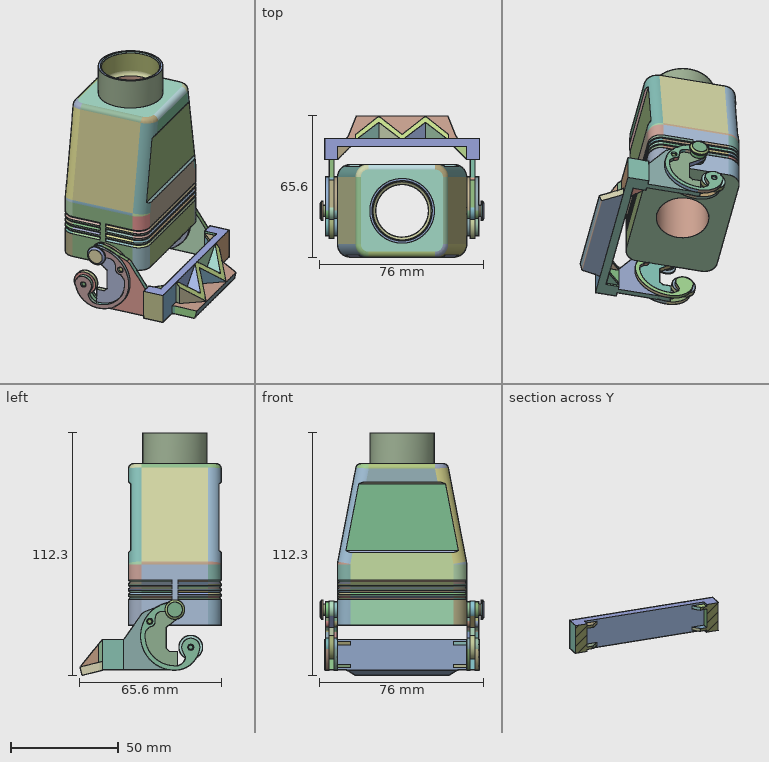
import cadquery as cq
import math

HOOD_LENGTH = 60.0
HOOD_WIDTH = 43.1
HOOD_HEIGHT = 75.0
SHOULDER_Z = 28.8
TOP_LENGTH = 42.2
SHOULDER_BLEND = 7.0
CORNER_RADIUS = 6.1
TOP_FILLET = 2.5

COLLAR_DIAMETER = 30.0
COLLAR_TOP_Z = 89.2
COLLAR_BORE = 27.0
COLLAR_BORE_DEPTH = 9.9
MOUTH_CHAMFER = 0.5
SEAT_FILLET = 1.95
CABLE_BORE = 24.3

PANEL_DEPTH = 1.0
PANEL_BOTTOM_Z = 33.7
PANEL_TOP_Z = 66.5

GROOVE_COUNT = 4
GROOVE_PITCH = 2.45
GROOVE_WIDTH = 1.7
GROOVE_DEPTH = 0.8
LOWEST_GROOVE_Z = 12.75
GROOVE_BAR_WIDTH = 2.9

HOOK_INNER_X = HOOD_LENGTH / 2
ARM_INNER_X = 31.55
ARM_OUTER_X = 33.85
HOOK_OUTER_X = 35.6
PIN_HEAD_X = 36.65
PIN_RIM_X = 37.25
PIN_END_X = 38.0

PIN_Z = 7.3
PIN_ROOT_X = HOOK_INNER_X - 1.0
PIN_RADIUS = 2.65
PIN_HEAD_RADIUS = 4.55
PIN_FACE_RADIUS = 3.5

HOOK_Z = -4.95
HOOK_RADIUS = 15.9
HOOK_INNER_RADIUS = 13.8
HOOK_END_RADIUS = HOOK_Z + HOOK_RADIUS - PIN_Z
HOOK_BOTTOM_Z = HOOK_Z - HOOK_RADIUS
HOOK_INNER_BOTTOM_Z = HOOK_Z - HOOK_INNER_RADIUS
ROLLER_CENTRE = (-7.35, -10.15)
ROLLER_RADIUS = 5.55
ROLLER_BOSS_RADIUS = 4.2
HOOK_CUSP = (-4.9, -14.7)
HOOK_THROAT = (-3.2, -17.75)
LUG_CENTRE = (11.65, 1.85)
LUG_RADIUS = 2.55
LUG_BLEND = 1.5
LUG_START_ANGLE = 9.0
NECK_FILLET = 3.2
NECK_Z = 6.5
DIMPLE_RADIUS = 1.4
DIMPLE_FLOOR_RADIUS = 1.0
DIMPLE_DEPTH = 0.5

BAR_LENGTH = 71.75
BAR_FRONT_Y = 23.7
BAR_BACK_Y = 33.6
BAR_WEB = 3.8
BAR_LEG = 5.95
BAR_TOP_Z = -6.5
BAR_BOTTOM_Z = -20.65
ARM_END_RADIUS = 4.05
ARM_SHOULDER_LOW = (15.4, 5.3)
ARM_SHOULDER_HIGH = (14.3, 6.2)
ARM_NOTCH_Y = 3.95
ARM_NOTCH_TOP_Z = -0.9
ARM_NOTCH_BOTTOM_Z = -12.05
ARM_NOTCH_CHAMFER = 1.4
ARM_TOE_Y = -1.3
GUSSET_THICKNESS = 1.5
GUSSET_INSET = 1.0

GRIP_TIP = (44.04, -19.32)
GRIP_SLOPE = 14.0
GRIP_THICKNESS = 4.05
GRIP_TIP_FILLET = 0.5
GRIP_TIP_HALF = 21.2
GRIP_ROOT_HALF = 24.9
GRIP_FLARE_HALF = 25.8
GRIP_FLARE = 1.2
RIB_PEAK_X = 10.8
RIB_PEAK_HALF_FLAT = 0.45
RIB_PEAK_Y = 43.5
RIB_ROOT_Y = 35.4
RIB_HALF_LENGTH = 21.5
RIB_POCKET_HALF = 9.7
RIB_POCKET_Z = -15.6


def box(x_range, y_range, z_range):
    """Axis-aligned block between pairs of limits."""
    size = [high - low for low, high in (x_range, y_range, z_range)]
    corner = cq.Vector(x_range[0], y_range[0], z_range[0])
    return cq.Workplane(obj=cq.Solid.makeBox(*size, pnt=corner))


def side_plane(x):
    """Sketch plane facing +X at the given X; sketch coordinates are (Y, Z)."""
    return cq.Workplane("YZ", origin=(x, 0, 0))


def disc(centre, radius, x_start, x_end):
    """Cylinder along X about a (Y, Z) centre."""
    return side_plane(x_start).center(*centre).circle(radius).extrude(x_end - x_start)


def on_circle(centre, radius, angle):
    """Point on a circle at an angle in degrees."""
    turn = math.radians(angle)
    return (centre[0] + radius * math.cos(turn), centre[1] + radius * math.sin(turn))


def tangent_point(centre, radius, outside, side):
    """Point where a line from an outside point touches a circle; side is +1 or -1."""
    dy = outside[0] - centre[0]
    dz = outside[1] - centre[1]
    spread = math.acos(radius / math.hypot(dy, dz))
    return on_circle(centre, radius, math.degrees(math.atan2(dz, dy) + side * spread))


def mirrored(part):
    """The part together with its reflection across the middle plane."""
    return part.union(part.mirror("YZ"))


def make_hood():
    half_base = HOOD_LENGTH / 2
    half_top = TOP_LENGTH / 2
    hood = (
        cq.Workplane("XZ")
        .moveTo(-half_base, 0)
        .lineTo(half_base, 0)
        .lineTo(half_base, SHOULDER_Z)
        .lineTo(half_top, HOOD_HEIGHT)
        .lineTo(-half_top, HOOD_HEIGHT)
        .lineTo(-half_base, SHOULDER_Z)
        .close()
        .extrude(HOOD_WIDTH / 2, both=True)
    )
    margin = 1.0
    at_shoulder = cq.selectors.BoxSelector(
        (-HOOD_LENGTH, -HOOD_WIDTH, SHOULDER_Z - margin),
        (HOOD_LENGTH, HOOD_WIDTH, SHOULDER_Z + margin),
    )
    hood = hood.edges("|Y").edges(at_shoulder).fillet(SHOULDER_BLEND)
    hood = hood.faces("<Y or >Y").edges("not(#Z)").fillet(CORNER_RADIUS)
    return hood.faces(">Z").edges().fillet(TOP_FILLET)


def cut_panels(hood):
    panel = (
        side_plane(-HOOD_LENGTH / 2)
        .moveTo(HOOD_WIDTH / 2, PANEL_BOTTOM_Z)
        .lineTo(HOOD_WIDTH / 2 - PANEL_DEPTH, PANEL_BOTTOM_Z + PANEL_DEPTH)
        .lineTo(HOOD_WIDTH / 2 - PANEL_DEPTH, PANEL_TOP_Z - PANEL_DEPTH)
        .lineTo(HOOD_WIDTH / 2, PANEL_TOP_Z)
        .close()
        .extrude(HOOD_LENGTH)
    )
    return hood.cut(panel).cut(panel.mirror("XZ"))


def groove_ring(z):
    """Ring of V section that bites into the hood wall at height z."""
    half_width = GROOVE_WIDTH / 2
    taper = math.degrees(math.atan2(GROOVE_DEPTH, half_width))
    outline = (
        cq.Sketch().rect(HOOD_LENGTH, HOOD_WIDTH).vertices().fillet(CORNER_RADIUS)
    )
    lower = (
        cq.Workplane(origin=(0, 0, z - half_width))
        .placeSketch(outline)
        .extrude(half_width, taper=taper)
    )
    waist = lower.union(lower.mirror("XY", (0, 0, z)))
    blank = cq.Workplane(origin=(0, 0, z)).box(HOOD_LENGTH, HOOD_WIDTH, GROOVE_WIDTH)
    return blank.cut(waist)


def cut_grooves(hood):
    for index in range(GROOVE_COUNT):
        hood = hood.cut(groove_ring(LOWEST_GROOVE_Z + index * GROOVE_PITCH))
    groove_top = LOWEST_GROOVE_Z + GROOVE_COUNT * GROOVE_PITCH
    bar = box(
        (HOOD_LENGTH / 2 - 2 * GROOVE_DEPTH, HOOD_LENGTH / 2),
        (-GROOVE_BAR_WIDTH / 2, GROOVE_BAR_WIDTH / 2),
        (LOWEST_GROOVE_Z - GROOVE_PITCH, groove_top),
    )
    return hood.union(mirrored(bar))


def add_cable_entry(hood):
    collar = (
        cq.Workplane(origin=(0, 0, HOOD_HEIGHT - TOP_FILLET))
        .circle(COLLAR_DIAMETER / 2)
        .extrude(COLLAR_TOP_Z - HOOD_HEIGHT + TOP_FILLET)
    )
    seat_z = COLLAR_TOP_Z - COLLAR_BORE_DEPTH
    fillet_centre = (COLLAR_BORE / 2 - SEAT_FILLET, seat_z)
    sweep = -math.degrees(math.acos((CABLE_BORE / 2 - fillet_centre[0]) / SEAT_FILLET))
    bore = (
        cq.Workplane("XZ")
        .lineTo(CABLE_BORE / 2, 0)
        .lineTo(*on_circle(fillet_centre, SEAT_FILLET, sweep))
        .threePointArc(
            on_circle(fillet_centre, SEAT_FILLET, sweep / 2),
            (COLLAR_BORE / 2, seat_z),
        )
        .lineTo(COLLAR_BORE / 2, COLLAR_TOP_Z - MOUTH_CHAMFER)
        .lineTo(COLLAR_BORE / 2 + MOUTH_CHAMFER, COLLAR_TOP_Z)
        .lineTo(0, COLLAR_TOP_Z)
        .close()
        .revolve(360, (0, 0), (0, 1))
    )
    return hood.union(collar).cut(bore)


def make_pin():
    return (
        cq.Workplane("XY")
        .moveTo(PIN_ROOT_X, 0)
        .lineTo(PIN_ROOT_X, PIN_RADIUS)
        .lineTo(PIN_HEAD_X, PIN_RADIUS)
        .lineTo(PIN_HEAD_X, PIN_HEAD_RADIUS)
        .lineTo(PIN_RIM_X, PIN_HEAD_RADIUS)
        .lineTo(PIN_END_X, PIN_FACE_RADIUS)
        .lineTo(PIN_END_X, 0)
        .close()
        .revolve(360, (0, 0), (1, 0))
        .translate((0, 0, PIN_Z))
    )


def hook_plate(x_start, x_end):
    """C-shaped plate running from the pin, round the back, to the roller."""
    hook_centre = (0, HOOK_Z)
    roller_y, roller_z = ROLLER_CENTRE
    toe_end = (roller_y - ROLLER_BOSS_RADIUS, roller_z)
    toe_rise = toe_end[1] - HOOK_BOTTOM_Z
    toe_radius = (toe_end[0] ** 2 + toe_rise ** 2) / (2 * toe_rise)
    toe_middle = on_circle((0, HOOK_BOTTOM_Z + toe_radius), toe_radius, 225)
    boss_touch = tangent_point(ROLLER_CENTRE, ROLLER_BOSS_RADIUS, HOOK_CUSP, 1)
    lug_y, lug_z = LUG_CENTRE
    lug_inner_y = lug_y - LUG_RADIUS
    inner_start = on_circle(hook_centre, HOOK_INNER_RADIUS, LUG_START_ANGLE)
    plate = (
        side_plane(x_start)
        .moveTo(0, HOOK_Z + HOOK_RADIUS)
        .threePointArc((HOOK_RADIUS, HOOK_Z), (0, HOOK_BOTTOM_Z))
        .threePointArc(toe_middle, toe_end)
        .lineTo(*ROLLER_CENTRE)
        .lineTo(*boss_touch)
        .lineTo(*HOOK_CUSP)
        .threePointArc(HOOK_THROAT, (0, HOOK_INNER_BOTTOM_Z))
        .threePointArc(on_circle(hook_centre, HOOK_INNER_RADIUS, -45), inner_start)
        .lineTo(lug_y, lug_z - LUG_RADIUS)
        .threePointArc(on_circle(LUG_CENTRE, LUG_RADIUS, 225), (lug_inner_y, lug_z))
        .lineTo(lug_inner_y, NECK_Z - NECK_FILLET)
        .threePointArc(
            on_circle((lug_inner_y - NECK_FILLET, NECK_Z - NECK_FILLET), NECK_FILLET, 45),
            (lug_inner_y - NECK_FILLET, NECK_Z),
        )
        .lineTo(0, NECK_Z)
        .close()
        .extrude(x_end - x_start)
    )
    knee = cq.selectors.NearestToPointSelector((x_start, *inner_start))
    plate = plate.edges("|X").edges(knee).fillet(LUG_BLEND)
    plate = plate.union(disc((0, PIN_Z), HOOK_END_RADIUS, x_start, x_end))
    return plate.union(disc(ROLLER_CENTRE, ROLLER_BOSS_RADIUS, x_start, x_end))


def dimple(centre):
    """Tapered recess in the outer face of the hook plate."""
    return (
        side_plane(HOOK_OUTER_X)
        .center(*centre)
        .circle(DIMPLE_RADIUS)
        .workplane(offset=-DIMPLE_DEPTH)
        .circle(DIMPLE_FLOOR_RADIUS)
        .loft()
    )


def make_arm():
    pin_centre = (0, PIN_Z)
    notch_corner = (ARM_NOTCH_Y, ARM_NOTCH_TOP_Z)
    outline = [
        (BAR_FRONT_Y, BAR_BOTTOM_Z),
        (BAR_FRONT_Y, BAR_TOP_Z),
        ARM_SHOULDER_LOW,
        ARM_SHOULDER_HIGH,
        tangent_point(pin_centre, ARM_END_RADIUS, ARM_SHOULDER_HIGH, 1),
        pin_centre,
        tangent_point(pin_centre, ARM_END_RADIUS, notch_corner, -1),
        notch_corner,
        (ARM_NOTCH_Y, ARM_NOTCH_BOTTOM_Z + ARM_NOTCH_CHAMFER),
        (ARM_NOTCH_Y - ARM_NOTCH_CHAMFER, ARM_NOTCH_BOTTOM_Z),
        (ARM_TOE_Y, ARM_NOTCH_BOTTOM_Z),
        (ARM_TOE_Y, BAR_BOTTOM_Z),
    ]
    arm = side_plane(ARM_INNER_X).polyline(outline).close()
    arm = arm.extrude(ARM_OUTER_X - ARM_INNER_X)
    return arm.union(disc(pin_centre, ARM_END_RADIUS, ARM_INNER_X, ARM_OUTER_X))


def make_lever_side():
    hooks = hook_plate(HOOK_INNER_X, ARM_INNER_X)
    hooks = hooks.union(hook_plate(ARM_OUTER_X, HOOK_OUTER_X))
    roller = disc(ROLLER_CENTRE, ROLLER_RADIUS, ARM_INNER_X, ARM_OUTER_X)
    side = hooks.union(roller).union(make_arm()).union(make_pin())
    for centre in (LUG_CENTRE, ROLLER_CENTRE):
        side = side.cut(dimple(centre))
    return side


def make_bail_bar():
    half = BAR_LENGTH / 2
    web_y = BAR_BACK_Y - BAR_WEB
    heights = (BAR_BOTTOM_Z, BAR_TOP_Z)
    bar = box((-half, half), (web_y, BAR_BACK_Y), heights)
    leg = box((half - BAR_LEG, half), (BAR_FRONT_Y, BAR_BACK_Y), heights)
    bar = bar.union(mirrored(leg))
    leg_x = half - BAR_LEG
    leg_reach = web_y - BAR_FRONT_Y
    lower_z = BAR_BOTTOM_Z + GUSSET_INSET
    upper_z = BAR_TOP_Z - GUSSET_INSET - GUSSET_THICKNESS
    for z in (lower_z, upper_z):
        gusset = (
            cq.Workplane(origin=(0, 0, z))
            .polyline([(leg_x, BAR_FRONT_Y), (leg_x, web_y), (leg_x - leg_reach, web_y)])
            .close()
            .extrude(GUSSET_THICKNESS)
        )
        bar = bar.union(mirrored(gusset))
    return bar


def grip_section(points):
    """(Y, Z) outline swept across the full width of the grip."""
    blank = side_plane(-GRIP_FLARE_HALF).polyline(points).close()
    return blank.extrude(2 * GRIP_FLARE_HALF)


def grip_plan(points):
    """(X, Y) outline swept through the full height of the bar and grip."""
    floor_z = BAR_BOTTOM_Z - GRIP_THICKNESS
    blank = cq.Workplane(origin=(0, 0, floor_z)).polyline(points).close()
    return blank.extrude(BAR_TOP_Z - floor_z)


def make_grip_plate():
    tip_y, tip_z = GRIP_TIP
    slope = math.radians(GRIP_SLOPE)
    heel_y = tip_y - GRIP_THICKNESS * math.sin(slope)
    heel_z = tip_z - GRIP_THICKNESS * math.cos(slope)
    root_top_z = tip_z + (tip_y - BAR_BACK_Y) * math.tan(slope)
    root_bottom_z = heel_z + (heel_y - BAR_BACK_Y) * math.tan(slope)
    section = grip_section([
        (BAR_BACK_Y, root_top_z),
        GRIP_TIP,
        (heel_y, heel_z),
        (BAR_BACK_Y, root_bottom_z),
    ])
    section = section.edges("|X").edges("<Z").fillet(GRIP_TIP_FILLET)
    plan = grip_plan([
        (-GRIP_FLARE_HALF, BAR_BACK_Y),
        (-GRIP_ROOT_HALF, BAR_BACK_Y + GRIP_FLARE),
        (-GRIP_TIP_HALF, tip_y),
        (GRIP_TIP_HALF, tip_y),
        (GRIP_ROOT_HALF, BAR_BACK_Y + GRIP_FLARE),
        (GRIP_FLARE_HALF, BAR_BACK_Y),
    ])
    return section.intersect(plan)


def make_grip_ribs():
    """Two pointed ribs falling from the bar to the grip tip, each with a V pocket."""
    tip_y, tip_z = GRIP_TIP
    wedge = grip_section([
        (BAR_BACK_Y, BAR_TOP_Z),
        GRIP_TIP,
        (BAR_BACK_Y, tip_z),
    ])
    right_half = grip_plan([
        (0, BAR_BACK_Y),
        (0, RIB_ROOT_Y),
        (RIB_PEAK_X - RIB_PEAK_HALF_FLAT, RIB_PEAK_Y),
        (RIB_PEAK_X + RIB_PEAK_HALF_FLAT, RIB_PEAK_Y),
        (RIB_HALF_LENGTH, RIB_ROOT_Y),
        (RIB_HALF_LENGTH, BAR_BACK_Y),
    ])
    pocket = (
        cq.Workplane("XZ", origin=(0, BAR_BACK_Y, 0))
        .polyline([
            (RIB_PEAK_X - RIB_POCKET_HALF, BAR_TOP_Z),
            (RIB_PEAK_X, RIB_POCKET_Z),
            (RIB_PEAK_X + RIB_POCKET_HALF, BAR_TOP_Z),
        ])
        .close()
        .extrude(BAR_BACK_Y - tip_y)
    )
    return mirrored(right_half.intersect(wedge).cut(pocket))


hood = add_cable_entry(cut_grooves(cut_panels(make_hood())))
lever = mirrored(make_lever_side()).union(make_bail_bar())
grip = make_grip_plate().union(make_grip_ribs())
result = hood.union(lever).union(grip)